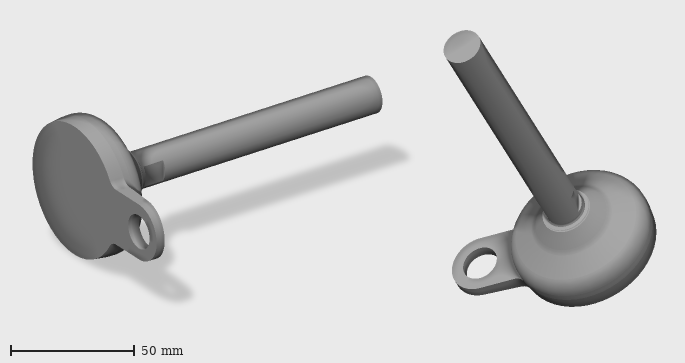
import cadquery as cq
import math

total_height = 148.0

base_radius = 30.0
wall_height = 6.3
wall_draft = 7.0
shoulder_start = 9.2
shoulder_radius = 7.0
flank_angle = 27.0
hub_angle = 45.0
hub_top_height = 26.5
hub_top_radius = 10.3
blend_radius = 7.0

lug_width = 25.0
lug_center_x = 45.5
lug_hole_diameter = 15.0
lug_tip_height = 4.0
lug_slope = 4.0
lug_blend_radius = 5.0

rod_radius = 8.0
rod_bottom = 28.7
groove_depth = 1.0
groove_middle = 28.2
groove_bottom = 27.6
groove_bottom_radius = 8.5
flange_radius = 10.0
flange_rim_height = 27.4
flange_seat_radius = 9.2

flat_distance = 13.0
flat_bottom = 30.0
flat_length = 9.7


def make_base():
    """Round base, shoulder, flank and hub cone turned about the Y axis."""
    bottom_radius = base_radius - wall_height * math.tan(math.radians(wall_draft))
    flank = math.radians(flank_angle)
    hub = math.radians(hub_angle)

    arc_center = base_radius - shoulder_radius
    arc_sweep = math.pi / 2 - flank

    def on_shoulder(angle):
        return (
            arc_center + shoulder_radius * math.cos(angle),
            shoulder_start + shoulder_radius * math.sin(angle),
        )

    shoulder_middle = on_shoulder(arc_sweep / 2)
    shoulder_end = on_shoulder(arc_sweep)

    rise = hub_top_height - shoulder_end[1]
    run = shoulder_end[0] - hub_top_radius
    corner_offset = (run * math.tan(hub) - rise) / (math.tan(hub) - math.tan(flank))
    corner_radius = shoulder_end[0] - corner_offset
    corner_height = shoulder_end[1] + corner_offset * math.tan(flank)

    half_turn = (hub - flank) / 2
    tangent_length = blend_radius * math.tan(half_turn)
    mean_angle = (hub + flank) / 2
    corner_gap = blend_radius * (1 / math.cos(half_turn) - 1)
    blend_start = (
        corner_radius + tangent_length * math.cos(flank),
        corner_height - tangent_length * math.sin(flank),
    )
    blend_end = (
        corner_radius - tangent_length * math.cos(hub),
        corner_height + tangent_length * math.sin(hub),
    )
    blend_middle = (
        corner_radius + corner_gap * math.sin(mean_angle),
        corner_height + corner_gap * math.cos(mean_angle),
    )

    profile = (
        cq.Workplane("XY")
        .moveTo(0, 0)
        .lineTo(bottom_radius, 0)
        .lineTo(base_radius, wall_height)
        .lineTo(base_radius, shoulder_start)
        .threePointArc(shoulder_middle, shoulder_end)
        .lineTo(*blend_start)
        .threePointArc(blend_middle, blend_end)
        .lineTo(hub_top_radius, hub_top_height)
        .lineTo(0, hub_top_height)
        .close()
    )
    return profile.revolve(360, (0, 0, 0), (0, 1, 0))


def make_lug():
    """Round-ended lug whose top face falls toward its tip."""
    half_width = lug_width / 2
    tip_x = lug_center_x + half_width
    root_height = lug_tip_height + tip_x * math.tan(math.radians(lug_slope))
    wedge = (
        cq.Workplane("XY")
        .polyline([(0, 0), (tip_x, 0), (tip_x, lug_tip_height), (0, root_height)])
        .close()
        .extrude(half_width, both=True)
    )
    outline = (
        cq.Workplane("XZ")
        .moveTo(0, -half_width)
        .lineTo(lug_center_x, -half_width)
        .threePointArc((tip_x, 0), (lug_center_x, half_width))
        .lineTo(0, half_width)
        .close()
        .extrude(-root_height)
    )
    return wedge.intersect(outline)


def make_foot():
    """Base and lug in one piece, with rounded inside corners and a lug hole."""
    foot = make_base().union(make_lug())

    half_width = lug_width / 2
    corner_x = math.sqrt(base_radius**2 - half_width**2)
    corner_height = wall_height / 2
    for side in (1, -1):
        corner = (corner_x, corner_height, side * half_width)
        foot = foot.edges(cq.NearestToPointSelector(corner)).fillet(lug_blend_radius)

    hole = (
        cq.Workplane("XZ")
        .center(lug_center_x, 0)
        .circle(lug_hole_diameter / 2)
        .extrude(-hub_top_height)
    )
    return foot.cut(hole)


def make_spindle():
    """Rod standing on the hub, with a groove, a thin flange and wrench flats."""
    profile = (
        cq.Workplane("XY")
        .moveTo(0, hub_top_height)
        .lineTo(flange_seat_radius, hub_top_height)
        .lineTo(flange_radius, flange_rim_height)
        .lineTo(groove_bottom_radius, groove_bottom)
        .threePointArc((rod_radius - groove_depth, groove_middle), (rod_radius, rod_bottom))
        .lineTo(rod_radius, total_height)
        .lineTo(0, total_height)
        .close()
    )
    spindle = profile.revolve(360, (0, 0, 0), (0, 1, 0))

    for side in (1, -1):
        cutter_x = side * (flat_distance / 2 + rod_radius / 2)
        cutter_y = flat_bottom + flat_length / 2
        cutter = cq.Workplane("XY").box(rod_radius, flat_length, 2 * rod_radius)
        spindle = spindle.cut(cutter.translate((cutter_x, cutter_y, 0)))
    return spindle


foot = make_foot()
spindle = make_spindle()

result = cq.Compound.makeCompound([*foot.solids().vals(), *spindle.solids().vals()])